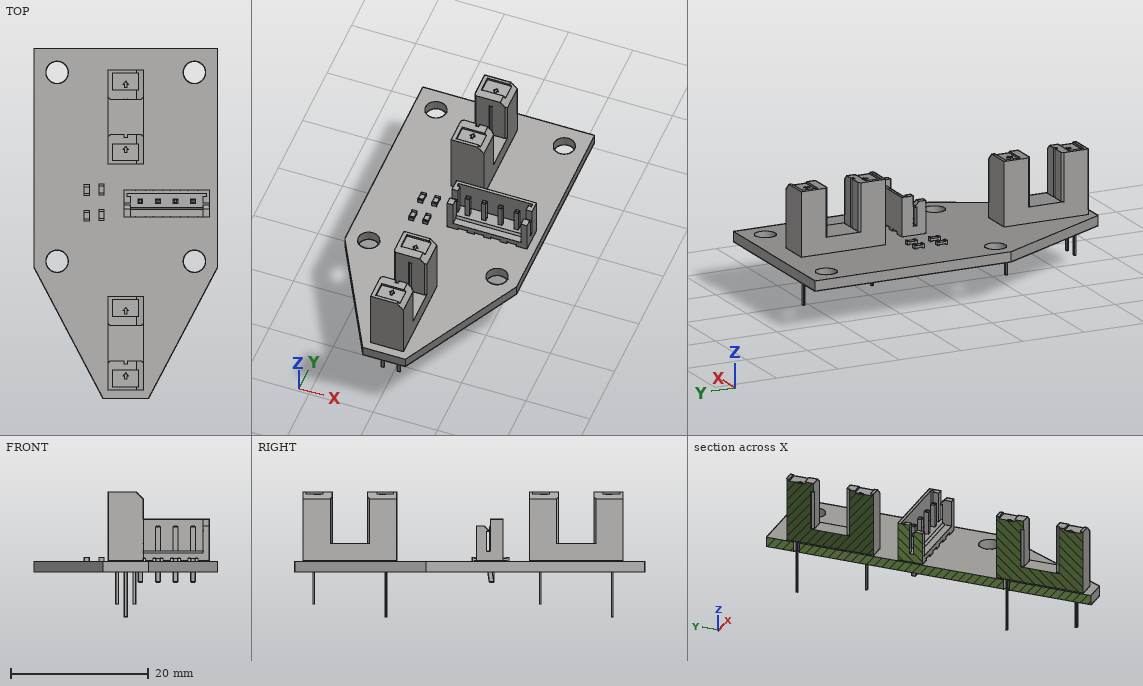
import cadquery as cq


BOARD_LENGTH = 51.0
BOARD_WIDTH = 26.8
BOARD_THICKNESS = 1.6
NARROW_END_WIDTH = 6.65
TAPER_LENGTH = 19.15
MOUNT_HOLE_DIAMETER = 3.2
MOUNT_HOLE_PITCH_X = 20.0
MOUNT_HOLE_ROWS = (20.0, 47.5)

STANDOFF = 0.1

SENSOR_CENTRES_Y = (8.05, 41.0)
SENSOR_WIDTH = 5.1
SENSOR_LENGTH = 13.65
SENSOR_HEIGHT = 10.0
SENSOR_CHAMFER = 1.0
GAP_WIDTH = 5.1
GAP_FLOOR = 2.5
GAP_EDGE_CHAMFER = 0.3
APERTURE_WIDTH = 0.45
APERTURE_DEPTH = 0.45
APERTURE_HEIGHT = 6.0
WINDOW_LENGTH = 2.45
WINDOW_DEPTH = 0.3
WINDOW_END_MARGIN = 0.45
WINDOW_SIDE_MARGIN = 0.6
ARROW_OFFSET = 4.75
ARROW_HEAD_WIDTH = 0.75
ARROW_HEAD_LENGTH = 0.45
ARROW_STEM_WIDTH = 0.3
ARROW_STEM_LENGTH = 0.45
ARROW_DEPTH = 0.1
LEAD_WIDTH = 0.45
LEAD_THICKNESS = 0.25
LEAD_ROW_OFFSET = 5.25
LEAD_PAIR_PITCH = 2.5
LONG_LEAD_END = -8.1
SHORT_LEAD_END = -6.2
LEAD_HOLE_DIAMETER = 0.85

HEADER_CENTRE_X = 5.95
HEADER_BACK_Y = 30.35
HEADER_WIDTH = 12.45
HEADER_DEPTH = 3.9
HEADER_HEIGHT = 6.0
FRONT_POST_HEIGHT = 5.05
HEADER_WALL = 0.45
POST_WIDTH = 0.9
BACK_POST_DEPTH = 1.85
CAVITY_FLOOR = 1.4
FRONT_SILL = 1.05
FLOOR_STEP_DEPTH = 2.5
LATCH_TIP_DEPTH = 2.15
LATCH_RAMP = 0.6
LATCH_TIP_HEIGHT = 0.2
LATCH_SLOT_DEPTH = 2.4
PIN_COUNT = 4
PIN_PITCH = 2.55
PIN_SIZE = 0.65
PIN_TIP_CHAMFER = 0.15
PIN_DEPTH = 1.65
PIN_TOP = 5.05
PIN_BOTTOM = -3.1
PIN_HOLE_DIAMETER = 0.95
KINK_OFFSET = 0.25
KINK_END_OFFSET = 0.05
NOTCH_WIDTH = 1.45
NOTCH_HEIGHT = 0.3

CHIP_CENTRES = ((-5.65, 30.35), (-3.5, 30.45), (-5.65, 26.65), (-3.5, 26.75))
CHIP_WIDTH = 0.75
CHIP_LENGTH = 1.6
CHIP_HEIGHT = 0.55
TERMINAL_LENGTH = 0.3
TERMINAL_WRAP = 0.1

HEADER_PIN_Y = HEADER_BACK_Y - PIN_DEPTH
HEADER_PINS_X = [
    HEADER_CENTRE_X + (i - (PIN_COUNT - 1) / 2) * PIN_PITCH for i in range(PIN_COUNT)
]


def block(x_range, y_range, z_range):
    """Rectangular block between the given X, Y and Z limits."""
    size = [high - low for low, high in (x_range, y_range, z_range)]
    corner = (x_range[0], y_range[0], z_range[0])
    return cq.Workplane("XY").box(*size, centered=False).translate(corner)


def centred(middle, size):
    """Limits of a span of the given size about its middle."""
    return (middle - size / 2, middle + size / 2)


def sensor_leads(centre_y):
    """Centre X, centre Y and lower end Z of each lead of one sensor."""
    back_y = centre_y + LEAD_ROW_OFFSET
    front_y = centre_y - LEAD_ROW_OFFSET
    return [
        (0, back_y, LONG_LEAD_END),
        (-LEAD_PAIR_PITCH / 2, front_y, SHORT_LEAD_END),
        (LEAD_PAIR_PITCH / 2, front_y, SHORT_LEAD_END),
    ]


def make_board():
    half_width = BOARD_WIDTH / 2
    half_end = NARROW_END_WIDTH / 2
    outline = [
        (-half_end, 0),
        (half_end, 0),
        (half_width, TAPER_LENGTH),
        (half_width, BOARD_LENGTH),
        (-half_width, BOARD_LENGTH),
        (-half_width, TAPER_LENGTH),
    ]
    mount_holes = [
        (side * MOUNT_HOLE_PITCH_X / 2, y) for side in (-1, 1) for y in MOUNT_HOLE_ROWS
    ]
    lead_holes = [(x, y) for centre_y in SENSOR_CENTRES_Y for x, y, _ in sensor_leads(centre_y)]
    pin_holes = [(x, HEADER_PIN_Y) for x in HEADER_PINS_X]

    board = cq.Workplane("XY").polyline(outline).close().extrude(-BOARD_THICKNESS)
    for points, diameter in (
        (mount_holes, MOUNT_HOLE_DIAMETER),
        (lead_holes, LEAD_HOLE_DIAMETER),
        (pin_holes, PIN_HOLE_DIAMETER),
    ):
        holes = cq.Workplane("XY").pushPoints(points).circle(diameter / 2)
        board = board.cut(holes.extrude(-BOARD_THICKNESS))
    return board


def make_arrow(centre_y, z_top):
    """Shallow arrow pointing to +Y, used to mark a sensor window."""
    half_head = ARROW_HEAD_WIDTH / 2
    half_stem = ARROW_STEM_WIDTH / 2
    outline = [
        (0, ARROW_HEAD_LENGTH),
        (-half_head, 0),
        (-half_stem, 0),
        (-half_stem, -ARROW_STEM_LENGTH),
        (half_stem, -ARROW_STEM_LENGTH),
        (half_stem, 0),
        (half_head, 0),
    ]
    plane = cq.Workplane("XY", origin=(0, centre_y, z_top))
    return plane.polyline(outline).close().extrude(-ARROW_DEPTH)


def make_sensor(centre_y):
    """U-shaped light barrier with its leads, built about Y = 0 and then moved."""
    half_width = SENSOR_WIDTH / 2
    half_length = SENSOR_LENGTH / 2
    half_gap = GAP_WIDTH / 2
    base = STANDOFF
    top = base + SENSOR_HEIGHT
    gap_floor = base + GAP_FLOOR
    full_x = (-half_width, half_width)

    sensor = block(full_x, (-half_length, half_length), (base, top))
    sensor = sensor.edges("|Y and >X and >Z").chamfer(SENSOR_CHAMFER)

    flare_x = half_width - GAP_EDGE_CHAMFER
    flare_y = half_gap + GAP_EDGE_CHAMFER
    gap_outline = [
        (-half_width, -flare_y),
        (-flare_x, -half_gap),
        (flare_x, -half_gap),
        (half_width, -flare_y),
        (half_width, flare_y),
        (flare_x, half_gap),
        (-flare_x, half_gap),
        (-half_width, flare_y),
    ]
    gap_plane = cq.Workplane("XY", origin=(0, 0, gap_floor))
    sensor = sensor.cut(gap_plane.polyline(gap_outline).close().extrude(top - gap_floor))

    aperture_x = centred(0, APERTURE_WIDTH)
    sensor = sensor.cut(
        block(aperture_x, (-half_gap - APERTURE_DEPTH, -half_gap), (gap_floor, top))
    )
    sensor = sensor.cut(
        block(
            aperture_x,
            (half_gap, half_gap + APERTURE_DEPTH),
            (gap_floor, gap_floor + APERTURE_HEIGHT),
        )
    )

    window_x = (WINDOW_SIDE_MARGIN - half_width, half_width - SENSOR_CHAMFER + WINDOW_DEPTH)
    window_floor = top - WINDOW_DEPTH
    for side in (-1, 1):
        window_centre = side * (half_length - WINDOW_END_MARGIN - WINDOW_LENGTH / 2)
        sensor = sensor.cut(
            block(window_x, centred(window_centre, WINDOW_LENGTH), (window_floor, top))
        )
        sensor = sensor.cut(make_arrow(side * ARROW_OFFSET, window_floor))

    for x, y, end_z in sensor_leads(0):
        lead = block(centred(x, LEAD_WIDTH), centred(y, LEAD_THICKNESS), (end_z, base))
        sensor = sensor.union(lead)
    return sensor.translate((0, centre_y, 0))


def make_pin(centre_x, kinked):
    """Square header pin; a kinked one bends towards -Y within the board and back below it."""
    top = STANDOFF + PIN_TOP
    kink = KINK_OFFSET if kinked else 0
    end_kink = KINK_END_OFFSET if kinked else 0
    centreline = [
        (HEADER_PIN_Y, top),
        (HEADER_PIN_Y, 0),
        (HEADER_PIN_Y - kink, -BOARD_THICKNESS),
        (HEADER_PIN_Y - end_kink, PIN_BOTTOM),
    ]
    half = PIN_SIZE / 2
    front_edge = [(y - half, z) for y, z in centreline]
    back_edge = [(y + half, z) for y, z in reversed(centreline)]
    plane = cq.Workplane("YZ", origin=(centre_x - half, 0, 0))
    pin = plane.polyline(front_edge + back_edge).close().extrude(PIN_SIZE)
    return pin.faces("<Z or >Z").chamfer(PIN_TIP_CHAMFER)


def make_header():
    """Open-fronted pin header; depths are measured from its back towards -Y."""
    left, right = centred(HEADER_CENTRE_X, HEADER_WIDTH)
    base = STANDOFF
    top = base + HEADER_HEIGHT
    cavity_floor = base + CAVITY_FLOOR
    sill = base + FRONT_SILL
    post_top = base + FRONT_POST_HEIGHT
    latch_z = post_top - LATCH_RAMP

    profile = [
        (0, base),
        (0, top),
        (BACK_POST_DEPTH, top),
        (BACK_POST_DEPTH, cavity_floor),
        (LATCH_SLOT_DEPTH, cavity_floor),
        (LATCH_SLOT_DEPTH, latch_z - LATCH_TIP_HEIGHT),
        (LATCH_TIP_DEPTH, latch_z - LATCH_TIP_HEIGHT),
        (LATCH_TIP_DEPTH, latch_z),
        (LATCH_TIP_DEPTH + LATCH_RAMP, post_top),
        (HEADER_DEPTH, post_top),
        (HEADER_DEPTH, base),
    ]
    profile_plane = cq.Workplane("YZ", origin=(left, 0, 0))
    profile_points = [(HEADER_BACK_Y - depth, z) for depth, z in profile]
    header = profile_plane.polyline(profile_points).close().extrude(HEADER_WIDTH)

    cavity = [
        (HEADER_WALL, top),
        (HEADER_WALL, cavity_floor),
        (FLOOR_STEP_DEPTH, cavity_floor),
        (FLOOR_STEP_DEPTH + CAVITY_FLOOR - FRONT_SILL, sill),
        (HEADER_DEPTH, sill),
        (HEADER_DEPTH, top),
    ]
    cavity_plane = cq.Workplane("YZ", origin=(left + POST_WIDTH, 0, 0))
    cavity_points = [(HEADER_BACK_Y - depth, z) for depth, z in cavity]
    header = header.cut(
        cavity_plane.polyline(cavity_points).close().extrude(HEADER_WIDTH - 2 * POST_WIDTH)
    )

    groove_y = (HEADER_BACK_Y - 2 * HEADER_WALL, HEADER_BACK_Y - HEADER_WALL)
    header = header.cut(
        block((left + HEADER_WALL, right - HEADER_WALL), groove_y, (cavity_floor, top))
    )

    header_y = (HEADER_BACK_Y - HEADER_DEPTH, HEADER_BACK_Y)
    for x in HEADER_PINS_X:
        header = header.cut(block(centred(x, NOTCH_WIDTH), header_y, (base, base + NOTCH_HEIGHT)))

    for x in HEADER_PINS_X:
        is_outer = x in (HEADER_PINS_X[0], HEADER_PINS_X[-1])
        header = header.union(make_pin(x, is_outer))
    return header


def make_chip(centre_x, centre_y):
    """Chip part: a body with taller terminals wrapped over its two ends."""
    x_range = centred(centre_x, CHIP_WIDTH)
    y_low, y_high = centred(centre_y, CHIP_LENGTH)
    chip = block(
        x_range,
        (y_low + TERMINAL_WRAP, y_high - TERMINAL_WRAP),
        (TERMINAL_WRAP, CHIP_HEIGHT - TERMINAL_WRAP),
    )
    for end_y in (y_low, y_high - TERMINAL_LENGTH):
        chip = chip.union(block(x_range, (end_y, end_y + TERMINAL_LENGTH), (0, CHIP_HEIGHT)))
    return chip


sensors = [make_sensor(centre_y) for centre_y in SENSOR_CENTRES_Y]
header = make_header()
board = make_board().cut(header)
chips = [make_chip(x, y) for x, y in CHIP_CENTRES]

result = cq.Compound.makeCompound(
    [
        board.val(),
        *[sensor.val() for sensor in sensors],
        header.val(),
        *[chip.val() for chip in chips],
    ]
)